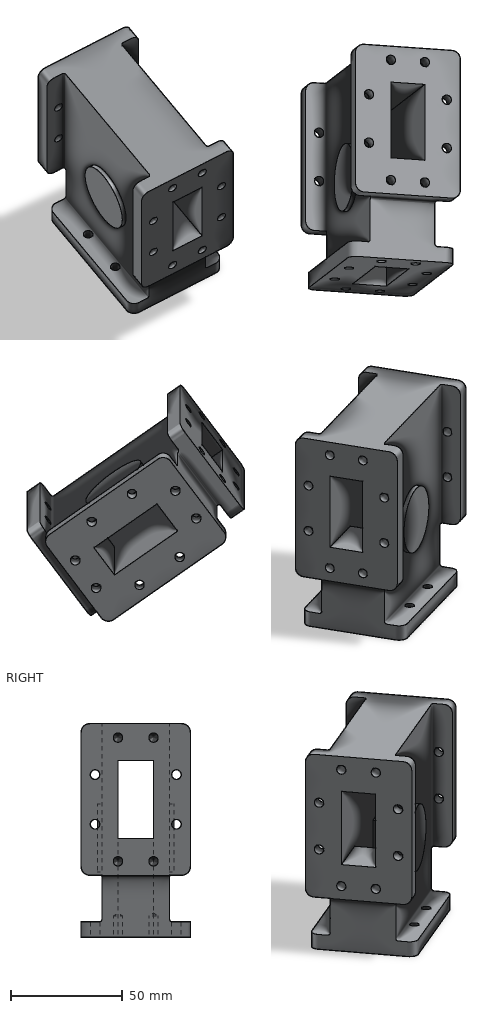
import cadquery as cq
import math

overall_width = 85.0
overall_height = 96.15

flange_length = 68.3
flange_width = 49.2
flange_thickness = 7.1
flange_corner_radius = 4.0

body_depth = 30.4
body_width = flange_length
root_fillet = 1.2
edge_search_margin = 0.3

channel_length = 35.0
channel_width = 15.8

bolt_diameter = 4.2
side_bolt_along = 11.2
side_bolt_across = 18.3
end_bolt_along = 27.8
end_bolt_across = 8.0
end_bolt_depth = 9.6
drill_point_angle = 118.0

pad_diameter = 30.6
pad_height = 2.0
pad_center_z = 44.6

side_flange_bottom = overall_height - flange_length
port_center_z = overall_height - flange_length / 2
side_flange_inner_x = overall_width / 2 - flange_thickness

left_port = cq.Plane(origin=(-overall_width / 2, 0, port_center_z), xDir=(0, 0, 1), normal=(1, 0, 0))
right_port = cq.Plane(origin=(overall_width / 2, 0, port_center_z), xDir=(0, 0, 1), normal=(-1, 0, 0))
bottom_port = cq.Plane(origin=(0, 0, 0), xDir=(1, 0, 0), normal=(0, 0, 1))
ports = (left_port, right_port, bottom_port)


def make_flange(port):
    """Plate with rounded corners, growing inward from the port plane."""
    plate = cq.Workplane(port).rect(flange_length, flange_width).extrude(flange_thickness)
    return plate.edges(cq.selectors.ParallelDirSelector(port.zDir)).fillet(flange_corner_radius)


def make_body():
    """Central column plus the wider upper block that reaches both side flanges."""
    column = cq.Workplane("XY").rect(body_width, body_depth).extrude(overall_height)
    upper_block = (
        cq.Workplane("XY")
        .workplane(offset=side_flange_bottom)
        .rect(overall_width, body_depth)
        .extrude(flange_length)
    )
    return column.union(upper_block)


def edges_near(direction, x, y, z):
    """Edge direction and a selector for edges whose middle lies close to a point."""
    low = (x - edge_search_margin, y - edge_search_margin, z - edge_search_margin)
    high = (x + edge_search_margin, y + edge_search_margin, z + edge_search_margin)
    return direction, cq.selectors.BoxSelector(low, high)


def fillet_roots(part):
    """Round the inside corners where the body meets the flanges."""
    roots = [edges_near("|Y", side * body_width / 2, 0, side_flange_bottom) for side in (-1, 1)]
    for face in (-1, 1):
        face_y = face * body_depth / 2
        roots.append(edges_near("|X", 0, face_y, flange_thickness))
        for side in (-1, 1):
            roots.append(edges_near("|Z", side * side_flange_inner_x, face_y, port_center_z))
    for direction, nearby in roots:
        part = part.edges(direction).edges(nearby).fillet(root_fillet)
    return part


def make_pads():
    """One cylinder through the body that stands proud of both faces."""
    reach = body_depth / 2 + pad_height
    return cq.Workplane("XZ").center(0, pad_center_z).circle(pad_diameter / 2).extrude(reach, both=True)


def make_channels():
    """Straight channel between the side ports and a branch down to the bottom port."""
    through = cq.Workplane(left_port).rect(channel_length, channel_width).extrude(overall_width)
    branch = cq.Workplane(bottom_port).rect(channel_length, channel_width).extrude(port_center_z)
    return through.union(branch)


def make_bolt_holes(port):
    """Through holes beside the channel and blind drilled holes beyond its ends."""
    radius = bolt_diameter / 2
    through_holes = (
        cq.Workplane(port)
        .rect(2 * side_bolt_along, 2 * side_bolt_across, forConstruction=True)
        .vertices()
        .circle(radius)
        .extrude(flange_thickness)
    )
    point_length = radius / math.tan(math.radians(drill_point_angle / 2))
    drill = (
        cq.Workplane("XZ")
        .polyline([(0, 0), (radius, 0), (radius, end_bolt_depth), (0, end_bolt_depth + point_length)])
        .close()
        .revolve(360, (0, 0), (0, 1))
        .val()
    )
    blind_holes = (
        cq.Workplane(port)
        .rect(2 * end_bolt_along, 2 * end_bolt_across, forConstruction=True)
        .vertices()
        .eachpoint(drill, useLocalCoordinates=True)
    )
    return through_holes.add(blind_holes.vals())


result = make_body()
for port in ports:
    result = result.union(make_flange(port))
result = fillet_roots(result)
result = result.union(make_pads())
result = result.cut(make_channels())
for port in ports:
    for hole in make_bolt_holes(port).vals():
        result = result.cut(cq.Workplane(hole))